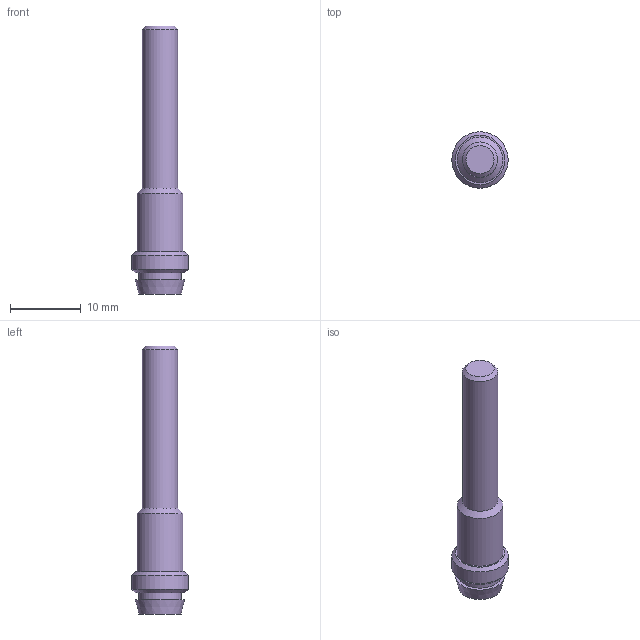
import cadquery as cq

barb_height = 2.0
collar_bottom = 3.0
collar_top = 6.0
shoulder_top = 15.0
total_height = 38.0

neck_radius = 3.0
barb_tip_radius = neck_radius
barb_rim_radius = 3.5
collar_radius = 4.0
body_radius = 3.25
pin_radius = 2.5

collar_chamfer = 0.5
tip_chamfer = 0.5
shoulder_chamfer = body_radius - pin_radius


def cylinder(radius, bottom, top):
    """Upright cylinder on the Z axis between two heights."""
    return cq.Workplane("XY").workplane(offset=bottom).circle(radius).extrude(top - bottom)


def make_barb():
    """Conical snap-in end that widens upward to a sharp rim below the neck."""
    return (
        cq.Workplane("XZ")
        .lineTo(barb_tip_radius, 0)
        .lineTo(barb_rim_radius, barb_height)
        .lineTo(0, barb_height)
        .close()
        .revolve(360, (0, 0), (0, 1))
    )


def make_collar():
    """Widest ring, chamfered on both rims."""
    return cylinder(collar_radius, collar_bottom, collar_top).edges("%CIRCLE").chamfer(collar_chamfer)


def make_body():
    """Shank above the collar; its top chamfer runs in to meet the pin."""
    return cylinder(body_radius, collar_top, shoulder_top).edges(">Z").chamfer(shoulder_chamfer)


def make_pin():
    """Long slender pin with a chamfered tip."""
    return cylinder(pin_radius, shoulder_top, total_height).edges(">Z").chamfer(tip_chamfer)


neck = cylinder(neck_radius, barb_height, collar_bottom)

result = make_barb().union(neck).union(make_collar()).union(make_body()).union(make_pin())